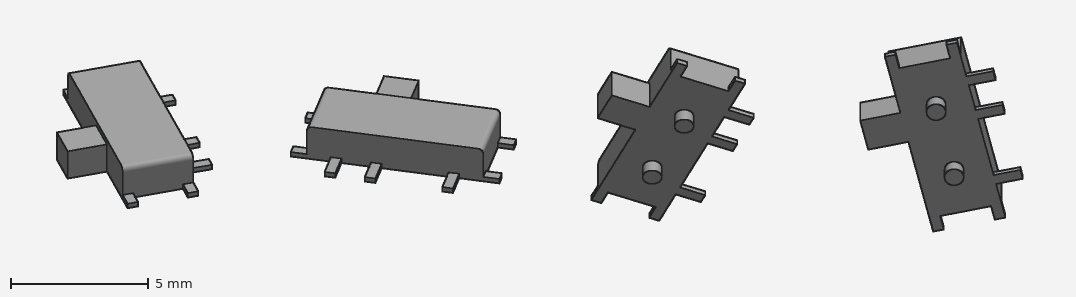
import cadquery as cq

body_length = 6.6
body_width = 2.7
body_height = 1.4
top_edge_radius = 0.2

contact_thickness = 0.2
contact_width = 0.4
tab_length = 0.6
terminal_length = 1.0
terminal_centers_x = (-2.2, 0.7, 2.2)

actuator_width = 1.3
actuator_height = 1.2
actuator_length = 1.5
actuator_center_x = 0.75

peg_diameter = 0.7
peg_length = 0.5
peg_spacing = 2.9


def block(length, width, height, center_x, center_y):
    """Box resting on Z = 0 with its footprint centred at the given point."""
    return (
        cq.Workplane("XY")
        .center(center_x, center_y)
        .box(length, width, height, centered=(True, True, False))
    )


def make_housing():
    """Rectangular housing with its two top end edges rounded."""
    housing = block(body_length, body_width, body_height, 0, 0)
    return housing.faces(">Z").edges("|Y").fillet(top_edge_radius)


def make_mounting_tabs():
    """One strip along each long side; its ends stick out as corner tabs."""
    strip_length = body_length + 2 * tab_length
    strip_offset = (body_width - contact_width) / 2
    front = block(strip_length, contact_width, contact_thickness, 0, -strip_offset)
    back = block(strip_length, contact_width, contact_thickness, 0, strip_offset)
    return front.union(back)


def make_terminal(center_x):
    """Solder terminal reaching out of the +Y face."""
    center_y = (body_width + terminal_length) / 2
    return block(contact_width, terminal_length, contact_thickness, center_x, center_y)


def make_actuator():
    """Actuator knob on the -Y face."""
    center_y = -(body_width + actuator_length) / 2
    return block(
        actuator_width, actuator_length, actuator_height, actuator_center_x, center_y
    )


def make_pegs():
    """Pair of round locating pegs below the housing."""
    return (
        cq.Workplane("XY")
        .pushPoints([(-peg_spacing / 2, 0), (peg_spacing / 2, 0)])
        .circle(peg_diameter / 2)
        .extrude(-peg_length)
    )


result = make_housing().union(make_mounting_tabs()).union(make_actuator()).union(make_pegs())
for terminal_x in terminal_centers_x:
    result = result.union(make_terminal(terminal_x))